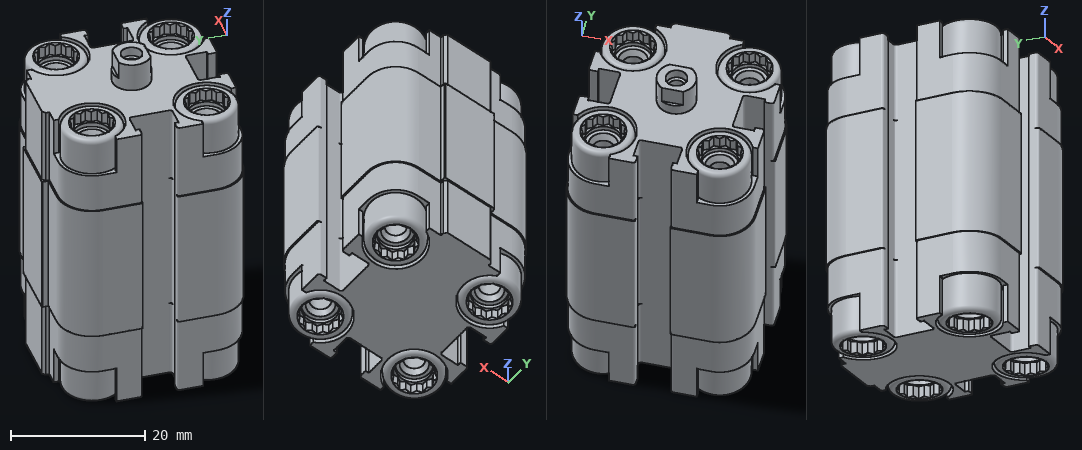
import cadquery as cq
import math

total_height = 52.5
housing_height = 47.9
top_cap_height = 12.4
bottom_cap_height = 12.65
barrel_top = housing_height - top_cap_height

barrel_half = 14.5
cap_inset = 0.2
screw_offset = 9.0

ridge_half_width = 4.8
ridge_height = 1.0
barrel_ridge_chamfer = 0.15
cap_ridge_chamfer = 0.45

slot_mouth_half = 2.75
slot_inner_half = 3.35
slot_floor = 9.45
slot_lip = 12.8
barrel_slot_fillet = 0.2
cap_slot_fillet = 0.4

pocket_depth = 6.05
pocket_diameter = 10.05
pocket_wall = 6.75
boss_diameter = 9.5
boss_fillet = 0.8

through_diameter = 3.25
cone_diameter = 4.4
counterbore_diameter = 5.7
socket_points = 12
socket_outer_radius = 3.45
socket_inner_radius = 3.1
socket_chamfer_width = 0.35
socket_chamfer_depth = 0.25
socket_depth = 2.05
counterbore_depth = 2.8
cone_depth = 1.0

rod_diameter = 6.0
rod_bottom = barrel_top
flat_width = 5.0
flat_length = 2.85
rod_counterbore_diameter = 3.25
rod_counterbore_depth = 1.5
rod_step_height = 0.2
rod_drill_diameter = 2.45
rod_drill_depth = 6.3
rod_drill_tip_angle = 118.0


def profile(inset, ridge_chamfer, slot_fillet, bottom, height):
    """Rounded square with a ridge on +Y and T-slots on the other three sides."""
    half = barrel_half - inset
    body = (
        cq.Workplane("XY", origin=(0, 0, bottom))
        .rect(2 * half, 2 * half)
        .extrude(height)
        .edges("|Z")
        .fillet(half - screw_offset)
    )
    ridge_half = ridge_half_width - inset
    ridge_top = half + ridge_height
    ridge = (
        cq.Workplane("XY", origin=(0, 0, bottom))
        .moveTo(-ridge_half, 0)
        .lineTo(-ridge_half, ridge_top - ridge_chamfer)
        .lineTo(-ridge_half + ridge_chamfer, ridge_top)
        .lineTo(ridge_half - ridge_chamfer, ridge_top)
        .lineTo(ridge_half, ridge_top - ridge_chamfer)
        .lineTo(ridge_half, 0)
        .close()
        .extrude(height)
    )
    body = body.union(ridge)
    slot = slot_cutter(half, slot_fillet, bottom, height)
    for angle in (-90, 0, 90):
        body = body.cut(slot.rotate((0, 0, 0), (0, 0, 1), angle))
    return body


def slot_cutter(half, fillet, bottom, height):
    """T-slot opening toward -Y, with rounded floor corners and rounded mouth edges."""
    mouth = slot_mouth_half
    inner = slot_inner_half
    diagonal = fillet * (1 - math.sqrt(0.5))
    return (
        cq.Workplane("XY", origin=(0, 0, bottom))
        .moveTo(-inner + fillet, -slot_floor)
        .lineTo(inner - fillet, -slot_floor)
        .threePointArc((inner - diagonal, -slot_floor - diagonal), (inner, -slot_floor - fillet))
        .lineTo(inner, -slot_lip)
        .lineTo(mouth, -slot_lip)
        .lineTo(mouth, -half + fillet)
        .threePointArc((mouth + diagonal, -half + diagonal), (mouth + fillet, -half))
        .lineTo(-mouth - fillet, -half)
        .threePointArc((-mouth - diagonal, -half + diagonal), (-mouth, -half + fillet))
        .lineTo(-mouth, -slot_lip)
        .lineTo(-inner, -slot_lip)
        .lineTo(-inner, -slot_floor - fillet)
        .threePointArc((-inner + diagonal, -slot_floor - diagonal), (-inner + fillet, -slot_floor))
        .close()
        .extrude(height)
    )


def top_pocket():
    """Corner pocket around a boss at the top of the +X +Y corner."""
    floor = housing_height - pocket_depth
    corner_side = barrel_half - pocket_wall
    corner = cq.Workplane("XY", origin=(pocket_wall, pocket_wall, floor)).rect(
        corner_side, corner_side, centered=False
    )
    clearance = cq.Workplane("XY", origin=(screw_offset, screw_offset, floor)).circle(pocket_diameter / 2)
    boss = (
        cq.Workplane("XY", origin=(screw_offset, screw_offset, floor))
        .circle(boss_diameter / 2)
        .extrude(pocket_depth)
        .faces(">Z")
        .edges()
        .fillet(boss_fillet)
    )
    return corner.extrude(pocket_depth).union(clearance.extrude(pocket_depth)).cut(boss)


def top_screw_recess():
    """Stepped screw recess going down from the end of the +X +Y boss."""
    star = []
    for i in range(2 * socket_points):
        radius = socket_inner_radius if i % 2 else socket_outer_radius
        angle = math.pi * i / socket_points
        star.append((radius * math.cos(angle), radius * math.sin(angle)))
    socket = cq.Workplane("XY").polyline(star).close().extrude(-socket_depth)
    bore = (
        cq.Workplane("XZ")
        .moveTo(0, 0)
        .lineTo(socket_outer_radius, 0)
        .lineTo(socket_outer_radius - socket_chamfer_width, -socket_chamfer_depth)
        .lineTo(counterbore_diameter / 2, -socket_chamfer_depth)
        .lineTo(counterbore_diameter / 2, -counterbore_depth)
        .lineTo(cone_diameter / 2, -counterbore_depth)
        .lineTo(through_diameter / 2, -counterbore_depth - cone_depth)
        .lineTo(0, -counterbore_depth - cone_depth)
        .close()
        .revolve(360, (0, 0, 0), (0, 1, 0))
    )
    return socket.union(bore).translate((screw_offset, screw_offset, housing_height))


def make_housing():
    barrel_height = barrel_top - bottom_cap_height
    barrel = profile(0, barrel_ridge_chamfer, barrel_slot_fillet, bottom_cap_height, barrel_height)
    top_cap = profile(cap_inset, cap_ridge_chamfer, cap_slot_fillet, barrel_top, top_cap_height)
    bottom_cap = profile(cap_inset, cap_ridge_chamfer, cap_slot_fillet, 0, bottom_cap_height)
    housing = barrel.union(top_cap).union(bottom_cap)

    middle = (0, 0, housing_height / 2)
    for cutter in (top_pocket(), top_screw_recess()):
        for end_cutter in (cutter, cutter.mirror("XY", middle)):
            for angle in (0, 90, 180, 270):
                housing = housing.cut(end_cutter.rotate((0, 0, 0), (0, 0, 1), angle))

    through_holes = (
        cq.Workplane("XY")
        .rect(2 * screw_offset, 2 * screw_offset, forConstruction=True)
        .vertices()
        .circle(through_diameter / 2)
        .extrude(housing_height)
    )
    housing = housing.cut(through_holes)

    rod_bore = (
        cq.Workplane("XY", origin=(0, 0, rod_bottom))
        .circle(rod_diameter / 2)
        .extrude(housing_height - rod_bottom)
    )
    return housing.cut(rod_bore)


def make_rod():
    rod = (
        cq.Workplane("XY", origin=(0, 0, rod_bottom))
        .circle(rod_diameter / 2)
        .extrude(total_height - rod_bottom)
    )

    flat_bottom = total_height - flat_length
    flat_cutter = (
        cq.Workplane("XY", origin=(0, 0, flat_bottom))
        .rect(2 * rod_diameter, 2 * rod_diameter)
        .rect(2 * rod_diameter, flat_width)
        .extrude(flat_length)
    )

    bore_radius = rod_counterbore_diameter / 2
    drill_radius = rod_drill_diameter / 2
    step_depth = rod_counterbore_depth + rod_step_height
    tip_depth = rod_drill_depth + drill_radius / math.tan(math.radians(rod_drill_tip_angle / 2))
    hole = (
        cq.Workplane("XZ", origin=(0, 0, total_height))
        .moveTo(0, 0)
        .lineTo(bore_radius, 0)
        .lineTo(bore_radius, -rod_counterbore_depth)
        .lineTo(drill_radius, -step_depth)
        .lineTo(drill_radius, -rod_drill_depth)
        .lineTo(0, -tip_depth)
        .close()
        .revolve(360, (0, 0, 0), (0, 1, 0))
    )
    return rod.cut(flat_cutter).cut(hole)


housing = make_housing()
rod = make_rod()

result = cq.Compound.makeCompound([housing.val(), rod.val()])